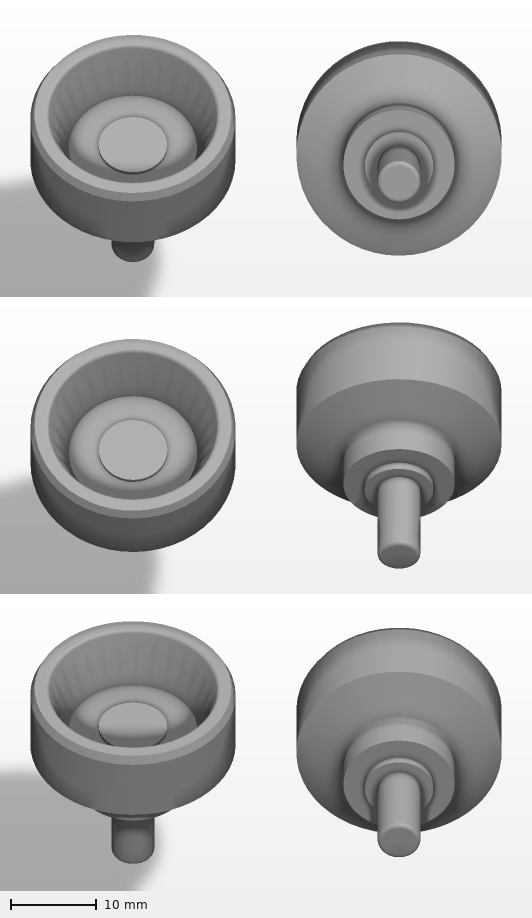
import cadquery as cq

total_height = 26.0
knob_diameter = 24.0
knob_radius = knob_diameter / 2

rim_chamfer_height = 1.0
rim_chamfer_width = 0.5
grip_bottom_z = 17.0
hub_radius = 6.5
hub_top_z = 14.92
hub_bottom_z = 10.95
neck_fillet = 0.6

dish_rim_radius = 9.93
dish_floor_radius = 7.5
dish_depth = 6.5
dish_lip_fillet = 0.5

insert_radius = 4.0
insert_bottom_z = 10.0
insert_proud = 0.5
stud_radius = 2.5
stud_tip_fillet = 0.5

dish_floor_z = total_height - dish_depth
insert_top_z = dish_floor_z + insert_proud


def make_knob():
    """Turned knob with a conical dish, a hub and a bore for the insert."""
    neck_zone = cq.selectors.BoxSelector(
        (-knob_radius, -knob_radius, hub_top_z - neck_fillet),
        (knob_radius, knob_radius, hub_top_z + neck_fillet),
    )
    profile = (
        cq.Workplane("XZ")
        .moveTo(insert_radius, hub_bottom_z)
        .lineTo(hub_radius, hub_bottom_z)
        .lineTo(hub_radius, hub_top_z)
        .lineTo(knob_radius, grip_bottom_z)
        .lineTo(knob_radius, total_height - rim_chamfer_height)
        .lineTo(knob_radius - rim_chamfer_width, total_height)
        .lineTo(dish_rim_radius, total_height)
        .lineTo(dish_floor_radius, dish_floor_z)
        .lineTo(insert_radius, dish_floor_z)
        .close()
    )
    knob = profile.revolve(360, (0, 0, 0), (0, 1, 0))
    knob = knob.edges(neck_zone).fillet(neck_fillet)
    dish_lip = cq.selectors.RadiusNthSelector(0)
    return knob.faces(">Z").edges(dish_lip).fillet(dish_lip_fillet)


def make_insert():
    """Round insert carrying a stud with a rounded tip."""
    body = (
        cq.Workplane("XY")
        .workplane(offset=insert_bottom_z)
        .circle(insert_radius)
        .extrude(insert_top_z - insert_bottom_z)
    )
    stud = cq.Workplane("XY").circle(stud_radius).extrude(insert_bottom_z)
    stud = stud.faces("<Z").edges().fillet(stud_tip_fillet)
    return body.union(stud)


knob = make_knob()
insert = make_insert()

result = cq.Compound.makeCompound([knob.val(), insert.val()])